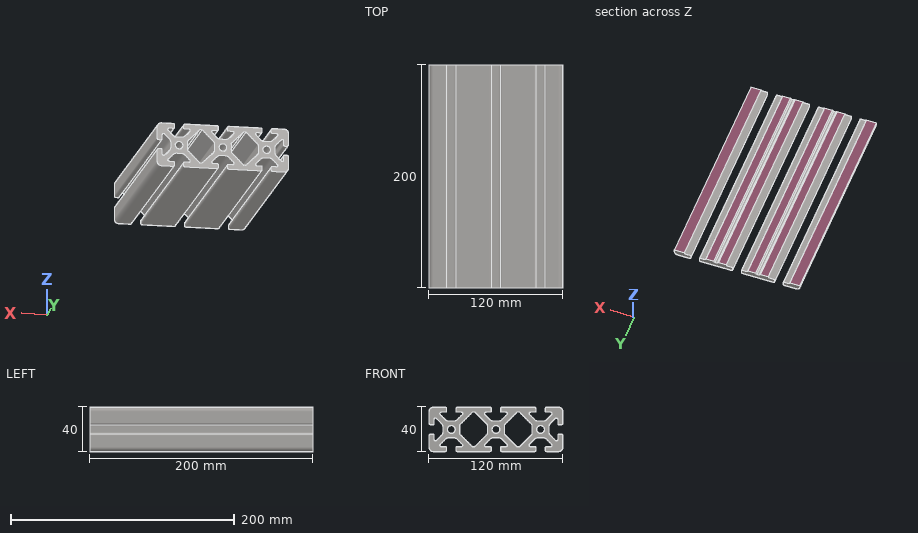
import cadquery as cq
import math

module = 40.0
module_count = 3
length = 200.0
width = module * module_count
height = module
corner_radius = 4.0

web_thickness = 5.0
web_offset = web_thickness / 2 * math.sqrt(2)

slot_opening = 8.2
slot_depth = 12.5
lip_thickness = 4.5
lip_outer_round = 1.5
lip_inner_round = 1.0
chamber_tip_round = 1.2
floor_round = 4.0

bore_diameter = 6.8
cavity_width = 24.5
cavity_height = height - 2 * lip_thickness
cavity_round = 1.0

flare_half = module / 2
flare_height = 2.0


def module_centers(count):
    """X positions of a centred row of items, one module apart."""
    return [(i - (count - 1) / 2) * module for i in range(count)]


def profile_plane():
    """XZ sketch plane on the +Y end; extrusions run toward -Y."""
    return cq.Workplane("XZ", origin=(0, length / 2, 0))


def round_pair(body, x, z, radius):
    """Fillet the two lengthwise edges of body at (-x, z) and (x, z)."""
    for edge_x in (-x, x):
        nearest = cq.selectors.NearestToPointSelector((edge_x, 0, z))
        body = body.edges("|Y").edges(nearest).fillet(radius)
    return body


def make_slot():
    """T-slot cutter for the top of a module centred on the origin."""
    face_z = module / 2
    lip_z = face_z - lip_thickness
    floor_z = face_z - slot_depth
    mouth_half = slot_opening / 2
    floor_half = floor_z - web_offset
    tip_half = lip_z - web_offset

    right_side = [
        (floor_half, floor_z),
        (tip_half, lip_z),
        (mouth_half, lip_z),
        (mouth_half, face_z),
        (flare_half, face_z),
        (flare_half, face_z + flare_height),
    ]
    left_side = [(-x, z) for x, z in reversed(right_side)]
    slot = profile_plane().polyline(right_side + left_side).close().extrude(length)

    slot = round_pair(slot, floor_half, floor_z, floor_round)
    slot = round_pair(slot, tip_half, lip_z, chamber_tip_round)
    slot = round_pair(slot, mouth_half, lip_z, lip_inner_round)
    return round_pair(slot, mouth_half, face_z, lip_outer_round)


def make_cavity():
    """Eight-sided through cavity centred on the joint between two modules."""
    half_width = cavity_width / 2
    half_height = cavity_height / 2
    side_half = module / 2 - half_width - web_offset
    end_half = module / 2 - half_height - web_offset
    outline = [
        (half_width, -side_half),
        (half_width, side_half),
        (end_half, half_height),
        (-end_half, half_height),
        (-half_width, side_half),
        (-half_width, -side_half),
        (-end_half, -half_height),
        (end_half, -half_height),
    ]
    cavity = profile_plane().polyline(outline).close().extrude(length)
    for corner_z in (-side_half, side_half):
        cavity = round_pair(cavity, half_width, corner_z, cavity_round)
    return cavity


bar = cq.Workplane("XY").box(width, length, height)
bar = bar.edges("|Y").fillet(corner_radius)

top_slot = make_slot()
bottom_slot = top_slot.rotate((0, 0, 0), (0, 1, 0), 180)
bore = profile_plane().circle(bore_diameter / 2).extrude(length)
for center_x in module_centers(module_count):
    for cutter in (top_slot, bottom_slot, bore):
        bar = bar.cut(cutter.translate((center_x, 0, 0)))

end_center = module_centers(module_count)[-1]
right_slot = top_slot.rotate((0, 0, 0), (0, 1, 0), 90).translate((end_center, 0, 0))
left_slot = right_slot.rotate((0, 0, 0), (0, 0, 1), 180)
bar = bar.cut(right_slot).cut(left_slot)

cavity = make_cavity()
for center_x in module_centers(module_count - 1):
    bar = bar.cut(cavity.translate((center_x, 0, 0)))

result = bar